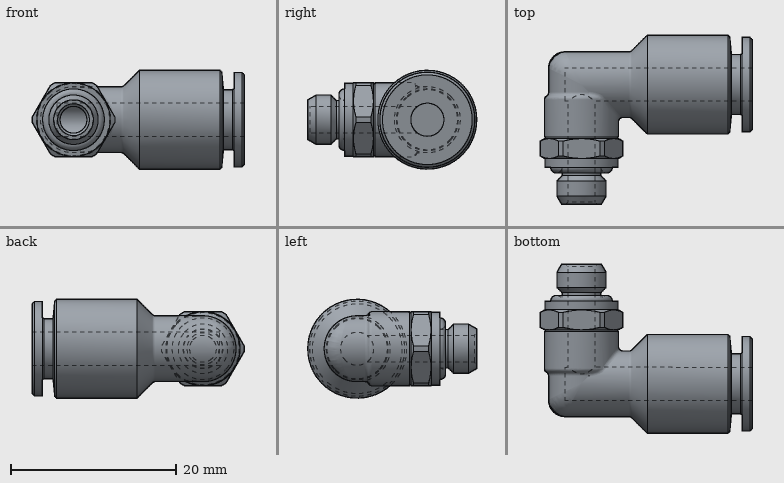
import cadquery as cq
import math


elbow_radius = 8.0 / 2
corner_rounding = elbow_radius / 2

socket_radius = 12.0 / 2
cone_root_fillet = 0.44
cone_end = 7.97
cone_angle = math.radians(45)
cone_start = cone_end - (socket_radius - elbow_radius) / math.tan(cone_angle)
socket_end = 17.96
socket_chamfer_length = 0.25
socket_chamfer_depth = 0.23
lip_end = 18.17

sleeve_radius = 7.3 / 2
sleeve_flare = 0.2
flare_rise = 0.1
flange_start = 19.45
flange_radius = 11.5 / 2
flange_chamfer = 0.3
right_end = 20.7

collar_radius = 9.0 / 2
collar_top = -1.3
collar_rounding = 0.51
collar_root_fillet = 0.45
collar_bottom = -6.32
neck_radius = 8.75 / 2
hex_top = -6.5
hex_bottom = -8.97
hex_across_flats = 9.0
hex_turned_radius = 10.02 / 2
hex_face_radius = 8.9 / 2
chamfer_slope = math.tan(math.radians(30))
washer_radius = 8.9 / 2
washer_bottom = -10.02
groove_radius = 4.7 / 2
seal_section_radius = 0.7
thread_radius = 6.0 / 2
thread_top = -11.67
tip_chamfer_length = 1.0
stem_end = -14.5

stem_bore_radius = 3.25 / 2
bore_chamfer = 0.3
tube_bore_radius = 4.0 / 2


def cylinder_x(radius, start, end):
    return cq.Workplane("YZ", origin=(start, 0, 0)).circle(radius).extrude(end - start)


def cylinder_y(radius, top, bottom):
    return cq.Workplane("XZ", origin=(0, top, 0)).circle(radius).extrude(top - bottom)


def revolve_about_y(profile):
    return profile.close().revolve(360, (0, 0, 0), (0, 1, 0))


def make_elbow():
    """Two equal cylinders meeting on a mitre, with the outer mitre edge rounded."""
    reach = 2 * elbow_radius
    corner = (
        cylinder_x(elbow_radius, -reach, 0)
        .intersect(cylinder_y(elbow_radius, reach, 0))
    )
    clearance = 0.03
    inside_corner = cq.selectors.BoxSelector(
        (-elbow_radius, clearance, -reach), (-clearance, elbow_radius, reach)
    )
    corner = corner.edges(inside_corner).fillet(corner_rounding)
    along_x = cylinder_x(elbow_radius, 0, cone_start)
    along_y = cylinder_y(elbow_radius, 0, collar_bottom)
    return corner.union(along_x).union(along_y)


def make_socket():
    fillet_reach = cone_root_fillet * math.tan(cone_angle / 2)
    fillet_run = fillet_reach * math.cos(cone_angle)
    fillet_rise = fillet_reach * math.sin(cone_angle)
    fillet_start = cone_start - fillet_reach
    profile = (
        cq.Workplane("XY")
        .moveTo(elbow_radius, 0)
        .lineTo(elbow_radius, elbow_radius)
        .lineTo(fillet_start, elbow_radius)
        .tangentArcPoint((cone_start + fillet_run, elbow_radius + fillet_rise), relative=False)
        .lineTo(cone_end, socket_radius)
        .lineTo(socket_end - socket_chamfer_length, socket_radius)
        .lineTo(socket_end, socket_radius - socket_chamfer_depth)
        .lineTo(lip_end, sleeve_radius)
        .lineTo(lip_end, 0)
        .close()
    )
    return profile.revolve(360, (0, 0, 0), (1, 0, 0))


def make_sleeve():
    sleeve = cylinder_x(sleeve_radius, socket_end, right_end)
    flange = cylinder_x(flange_radius, flange_start, right_end)
    flare = (
        cq.Workplane("YZ", origin=(flange_start - sleeve_flare, 0, 0))
        .circle(sleeve_radius)
        .workplane(offset=sleeve_flare)
        .circle(sleeve_radius + flare_rise)
        .loft()
    )
    return sleeve.union(flare).union(flange.faces(">X").edges().chamfer(flange_chamfer))


def make_collared_elbow():
    """Elbow with the rounded collar on its lower leg, blended where the two meet."""
    collar = cylinder_y(collar_radius, collar_top, collar_bottom)
    collar = collar.faces(">Y").edges().fillet(collar_rounding)
    body = make_elbow().union(collar)

    def is_root_edge(edge):
        bounds = edge.BoundingBox()
        level_gap = 0.05
        return abs(bounds.ymax - collar_top) < level_gap and bounds.ylen < collar_radius

    body = body.edges().filter(is_root_edge).fillet(collar_root_fillet)
    return body.union(cylinder_y(neck_radius, collar_bottom, hex_top))


def make_hex():
    """Hexagon with flats facing Z, turned on its corners and chamfered at both ends."""
    across_corners = hex_across_flats / math.cos(math.radians(30))
    prism = (
        cq.Workplane("XZ", origin=(0, hex_top, 0))
        .polygon(6, across_corners)
        .extrude(hex_top - hex_bottom)
    )
    chamfer = (hex_turned_radius - hex_face_radius) * chamfer_slope
    turned = revolve_about_y(
        cq.Workplane("XY").polyline([
            (0, hex_top),
            (hex_face_radius, hex_top),
            (hex_turned_radius, hex_top - chamfer),
            (hex_turned_radius, hex_bottom + chamfer),
            (hex_face_radius, hex_bottom),
            (0, hex_bottom),
        ])
    )
    return prism.intersect(turned)


def make_stem():
    tip_radius = thread_radius - tip_chamfer_length * chamfer_slope
    washer = cylinder_y(washer_radius, hex_bottom, washer_bottom)
    seal_center_radius = groove_radius + seal_section_radius
    seal = cq.Workplane(
        cq.Solid.makeTorus(
            seal_center_radius, seal_section_radius, cq.Vector(0, washer_bottom, 0), cq.Vector(0, 1, 0)
        )
    )
    threaded = revolve_about_y(
        cq.Workplane("XY").polyline([
            (0, hex_bottom),
            (groove_radius, hex_bottom),
            (groove_radius, thread_top + thread_radius - groove_radius),
            (thread_radius, thread_top),
            (thread_radius, stem_end + tip_chamfer_length),
            (tip_radius, stem_end),
            (0, stem_end),
        ])
    )
    return washer.union(seal).union(threaded)


def make_passages():
    tube_bore = cylinder_x(tube_bore_radius, -tube_bore_radius, right_end)
    mouth_radius = stem_bore_radius + bore_chamfer
    stem_bore = revolve_about_y(
        cq.Workplane("XY").polyline([
            (0, 0),
            (stem_bore_radius, 0),
            (stem_bore_radius, stem_end + bore_chamfer),
            (mouth_radius, stem_end),
            (0, stem_end),
        ])
    )
    return tube_bore.union(stem_bore)


result = make_collared_elbow()
for section in (make_socket(), make_sleeve(), make_hex(), make_stem()):
    result = result.union(section)
result = result.cut(make_passages())